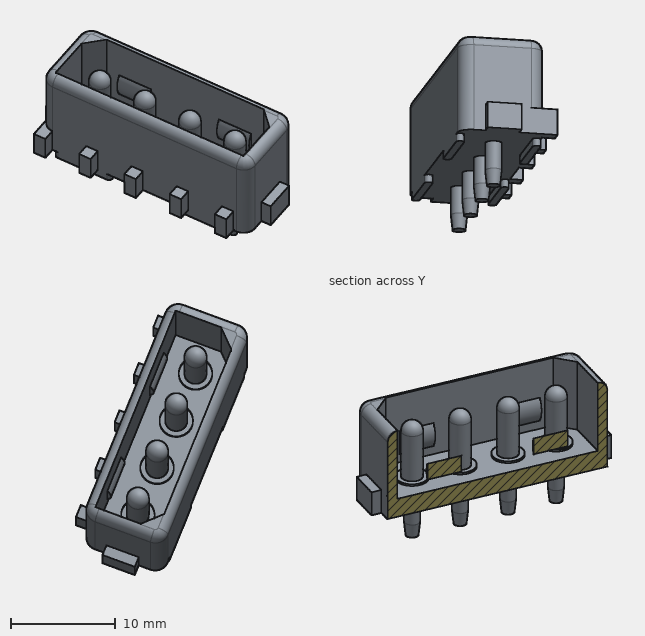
import cadquery as cq
import math

overall_length = 25.4
overall_depth = 9.52
overall_height = 13.72

body_length = 23.32
body_depth = 8.25
body_height = 9.5
corner_radius = 1.3
rim_radius = 1.02

end_wall = 1.07
side_wall = 0.95
floor_thickness = 2.03
corner_bevel = 1.73

pin_count = 4
pin_pitch = 5.08
contact_diameter = 2.13
contact_top = 8.28
collar_diameter = 3.2
collar_height = 0.2
tail_diameter = 1.6
tail_tip_diameter = 1.27
tail_taper_length = 1.52

bump_length = 3.63
bump_spacing = 11.25
bump_height = 2.55
bump_bulge = 0.38
bump_top = 5.45

block_height = 2.55
tab_width = 3.3
rib_count = 5
rib_width = 1.3
rib_pitch = 5.1

foot_length = 6.35
foot_width = 0.8
foot_height = 0.75
foot_spacing = 14.02

cavity_length = body_length - 2 * end_wall
cavity_depth = body_depth - 2 * side_wall
rib_projection = overall_depth - body_depth
tail_length = overall_height - body_height


def make_body():
    """Rounded box with a soft rim at its open end."""
    return (
        cq.Workplane("XY")
        .box(body_length, body_depth, body_height, centered=(True, True, False))
        .edges("|Z").fillet(corner_radius)
        .faces(">Z").edges().fillet(rim_radius)
    )


def make_cavity():
    """Volume above the floor, to be cut from the body."""
    return (
        cq.Workplane("XY", origin=(0, 0, floor_thickness))
        .box(cavity_length, cavity_depth, body_height, centered=(True, True, False))
        .edges("|Z and >Y").chamfer(corner_bevel)
    )


def make_end_tabs():
    """One bar through the body whose two ends stand out as mounting tabs."""
    return cq.Workplane("XY").box(overall_length, tab_width, block_height, centered=(True, True, False))


def make_rib(x_start):
    """Block standing out from the -Y wall and rooted one corner radius inside it."""
    outer_y = -body_depth / 2 - rib_projection
    return (
        cq.Workplane("XY", origin=(x_start, outer_y, 0))
        .box(rib_width, rib_projection + corner_radius, block_height, centered=False)
    )


def make_foot(x, side):
    """Round-ended foot under a long wall, flush with its outer face."""
    y = side * (body_depth - foot_width) / 2
    return cq.Workplane("XY", origin=(x, y, -foot_height)).slot2D(foot_length, foot_width).extrude(foot_height)


def make_bump(x, side):
    """Circular-segment bump on the inner face of a long wall."""
    wall_y = side * cavity_depth / 2
    root_y = wall_y + side * side_wall / 2
    bump_bottom = bump_top - bump_height
    return (
        cq.Workplane("YZ", origin=(x - bump_length / 2, 0, 0))
        .moveTo(root_y, bump_bottom)
        .lineTo(wall_y, bump_bottom)
        .threePointArc((wall_y - side * bump_bulge, bump_top - bump_height / 2), (wall_y, bump_top))
        .lineTo(root_y, bump_top)
        .close()
        .extrude(bump_length)
    )


def make_pin(x):
    """Domed contact with a collar on the floor and a tapered tail below the housing."""
    contact_radius = contact_diameter / 2
    collar_radius = collar_diameter / 2
    tail_radius = tail_diameter / 2
    collar_top = floor_thickness + collar_height
    shoulder_z = floor_thickness / 2
    dome_z = contact_top - contact_radius
    diagonal = contact_radius * math.sqrt(0.5)
    return (
        cq.Workplane("XZ", origin=(x, 0, 0))
        .moveTo(0, -tail_length)
        .lineTo(tail_tip_diameter / 2, -tail_length)
        .lineTo(tail_radius, tail_taper_length - tail_length)
        .lineTo(tail_radius, shoulder_z)
        .lineTo(collar_radius, shoulder_z)
        .lineTo(collar_radius, collar_top)
        .lineTo(contact_radius, collar_top)
        .lineTo(contact_radius, dome_z)
        .threePointArc((diagonal, dome_z + diagonal), (0, contact_top))
        .close()
        .revolve(360, (0, 0, 0), (0, 1, 0))
    )


result = make_body().union(make_end_tabs())

for index in range(rib_count):
    result = result.union(make_rib(-body_length / 2 + index * rib_pitch))

result = result.cut(make_cavity())

for side in (-1, 1):
    for end in (-1, 1):
        result = result.union(make_foot(end * foot_spacing / 2, side))
        result = result.union(make_bump(end * bump_spacing / 2, side))

for index in range(pin_count):
    result = result.union(make_pin((index - (pin_count - 1) / 2) * pin_pitch))